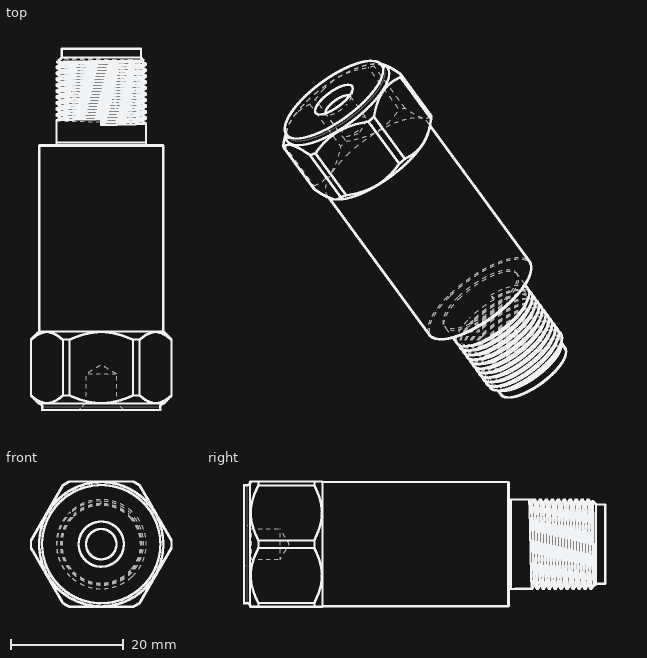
import cadquery as cq
import math

TOTAL_LENGTH = 64.15

DISC_DIA = 21.0
DISC_STRAIGHT = 0.6
BARREL_DIA = 22.05
BARREL_END = 47.0
BARREL_CHAMFER = 0.2
HEX_FLATS = 22.25
HEX_CORNER_DIA = 24.95
HEX_END = 13.9
NECK_LENGTH = 0.4

HOLE_DIA = 5.4
HOLE_DEPTH = 6.4
COUNTERSINK_DIA = 8.0
DRILL_POINT_ANGLE = 118.0

CONNECTOR_DIA = 15.9
NOSE_DIA = 14.1
NOSE_LENGTH = 1.65
NOSE_CHAMFER = 0.1

THREAD_TURNS = 12
THREAD_LENGTH = 12.7
THREAD_PITCH = THREAD_LENGTH / THREAD_TURNS
THREAD_ROOT_DIA = 14.5
THREAD_FLAT = THREAD_PITCH / 8
THREAD_START = 51.0
THREAD_START_ANGLE = -90.0
CUT_CLEARANCE = 0.1

DISC_R = DISC_DIA / 2
BARREL_R = BARREL_DIA / 2
HEX_R = HEX_CORNER_DIA / 2
HOLE_R = HOLE_DIA / 2
COUNTERSINK_R = COUNTERSINK_DIA / 2
CONNECTOR_R = CONNECTOR_DIA / 2
NOSE_R = NOSE_DIA / 2

CONNECTOR_START = BARREL_END + NECK_LENGTH
NOSE_START = TOTAL_LENGTH - NOSE_LENGTH


def revolve_profile(sketch):
    """Turn a closed (radius, height) outline about the Z axis."""
    return sketch.revolve(360, (0, 0, 0), (0, 1, 0))


def lay_along_y(body):
    """Turn a body from the +Z axis onto the +Y axis."""
    return body.rotate((0, 0, 0), (1, 0, 0), -90)


def make_hex():
    """Hexagon with turned corners and 45 degree chamfers at both ends."""
    hex_start = DISC_STRAIGHT + BARREL_R - DISC_R
    chamfer = HEX_R - BARREL_R
    prism = (
        cq.Workplane("XY")
        .workplane(offset=hex_start)
        .polygon(6, HEX_FLATS / math.cos(math.pi / 6))
        .extrude(HEX_END - hex_start)
    )
    turned = revolve_profile(
        cq.Workplane("XZ")
        .moveTo(0, hex_start)
        .lineTo(BARREL_R, hex_start)
        .lineTo(HEX_R, hex_start + chamfer)
        .lineTo(HEX_R, HEX_END - chamfer)
        .lineTo(BARREL_R, HEX_END)
        .lineTo(0, HEX_END)
        .close()
    )
    return prism.intersect(turned)


def make_housing_core():
    """End disc with its fillet into the hex, the barrel and the connector neck."""
    fillet = BARREL_R - DISC_R
    fillet_mid = fillet * math.sqrt(0.5)
    hex_start = DISC_STRAIGHT + fillet
    return revolve_profile(
        cq.Workplane("XZ")
        .lineTo(DISC_R, 0)
        .lineTo(DISC_R, DISC_STRAIGHT)
        .threePointArc((BARREL_R - fillet_mid, DISC_STRAIGHT + fillet_mid), (BARREL_R, hex_start))
        .lineTo(BARREL_R, BARREL_END - BARREL_CHAMFER)
        .lineTo(BARREL_R - BARREL_CHAMFER, BARREL_END)
        .lineTo(CONNECTOR_R, BARREL_END)
        .lineTo(CONNECTOR_R, CONNECTOR_START)
        .lineTo(0, CONNECTOR_START)
        .close()
    )


def make_mounting_hole():
    """Blind drilled hole with a 45 degree countersink and a drill point."""
    point_length = HOLE_R / math.tan(math.radians(DRILL_POINT_ANGLE / 2))
    return revolve_profile(
        cq.Workplane("XZ")
        .lineTo(COUNTERSINK_R, 0)
        .lineTo(HOLE_R, COUNTERSINK_R - HOLE_R)
        .lineTo(HOLE_R, HOLE_DEPTH)
        .lineTo(0, HOLE_DEPTH + point_length)
        .close()
    )


def make_housing():
    return make_housing_core().union(make_hex()).cut(make_mounting_hole())


def make_groove_turn():
    """One turn of a V groove with a flat root, starting on the X axis at height 0."""
    root_r = THREAD_ROOT_DIA / 2
    outer_r = CONNECTOR_R + CUT_CLEARANCE
    half_root = THREAD_FLAT / 2
    half_mouth = (THREAD_PITCH - THREAD_FLAT) / 2
    flank_slope = (half_mouth - half_root) / (CONNECTOR_R - root_r)
    half_outer = half_mouth + CUT_CLEARANCE * flank_slope
    helix = cq.Wire.makeHelix(THREAD_PITCH, THREAD_PITCH, root_r)
    return (
        cq.Workplane("XZ")
        .moveTo(root_r, -half_root)
        .lineTo(outer_r, -half_outer)
        .lineTo(outer_r, half_outer)
        .lineTo(root_r, half_root)
        .close()
        .sweep(cq.Workplane(obj=helix), isFrenet=True)
        .rotate((0, 0, 0), (0, 0, 1), THREAD_START_ANGLE)
    )


def cut_thread(blank):
    """Cut the right-hand thread turn by turn, from the shoulder to past the nose start."""
    groove_turn = make_groove_turn()
    threaded = blank
    for turn in range(THREAD_TURNS):
        threaded = threaded.cut(groove_turn.translate((0, 0, THREAD_START + turn * THREAD_PITCH)))
    return threaded


def make_connector():
    """Threaded connector with a plain shoulder, a lead-in chamfer and a plain nose."""
    blank = revolve_profile(
        cq.Workplane("XZ")
        .moveTo(0, CONNECTOR_START)
        .lineTo(CONNECTOR_R, CONNECTOR_START)
        .lineTo(CONNECTOR_R, NOSE_START - (CONNECTOR_R - NOSE_R))
        .lineTo(NOSE_R, NOSE_START)
        .lineTo(NOSE_R, TOTAL_LENGTH - NOSE_CHAMFER)
        .lineTo(NOSE_R - NOSE_CHAMFER, TOTAL_LENGTH)
        .lineTo(0, TOTAL_LENGTH)
        .close()
    )
    return cut_thread(blank)


housing = lay_along_y(make_housing())
connector = lay_along_y(make_connector())

result = cq.Compound.makeCompound([housing.solids().val(), connector.solids().val()])